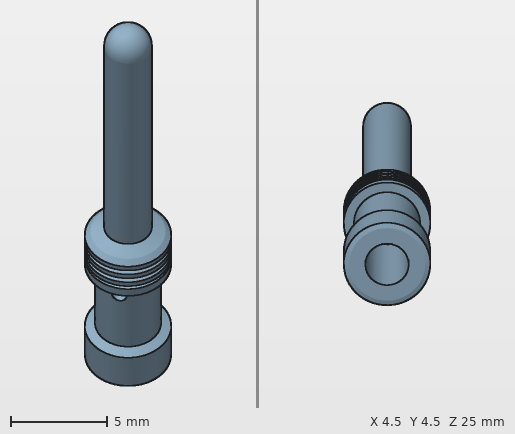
import cadquery as cq

total_height = 25.0
pin_radius = 2.5 / 2
collar_radius = 4.5 / 2
barrel_radius = 3.45 / 2

foot_rim_height = 2.25
foot_top = 2.52
foot_bottom_radius = 3.95 / 2
foot_chamfer_height = 0.08

collar_bottom = 7.0
collar_rim_top = 9.25
shoulder_break_height = 9.52
shoulder_break_radius = 3.9 / 2
collar_top = 9.9

groove_root_radius = 3.95 / 2
groove_roof_drop = 0.15
groove_pitch = 0.6
top_groove_roof = 8.95
groove_heights = [0.3, 0.3, 0.22]

bore_radius = 2.25 / 2
bore_depth = collar_bottom
inspection_hole_radius = 0.8 / 2
inspection_hole_height = 6.4


def revolve_profile(outline):
    """Revolve a closed half profile, drawn as (radius, height), about Z."""
    return outline.close().revolve(360, (0, 0, 0), (0, 1, 0))


def make_turned_body():
    dome_base = total_height - pin_radius
    dome_mid = pin_radius * 0.5**0.5
    outline = (
        cq.Workplane("XZ")
        .lineTo(foot_bottom_radius, 0)
        .lineTo(collar_radius, foot_chamfer_height)
        .lineTo(collar_radius, foot_rim_height)
        .lineTo(barrel_radius, foot_top)
        .lineTo(barrel_radius, collar_bottom)
        .lineTo(collar_radius, collar_bottom)
        .lineTo(collar_radius, collar_rim_top)
        .lineTo(shoulder_break_radius, shoulder_break_height)
        .lineTo(pin_radius, collar_top)
        .lineTo(pin_radius, dome_base)
        .threePointArc((dome_mid, dome_base + dome_mid), (0, total_height))
    )
    return revolve_profile(outline)


def make_groove(roof, height):
    outline = (
        cq.Workplane("XZ")
        .moveTo(collar_radius, roof)
        .lineTo(groove_root_radius, roof - groove_roof_drop)
        .lineTo(collar_radius, roof - height)
    )
    return revolve_profile(outline)


def make_crimp_bore():
    return cq.Workplane("XY").circle(bore_radius).extrude(bore_depth)


def make_inspection_hole():
    """Radial hole from the -Y side of the barrel to the bore axis."""
    return (
        cq.Workplane("XZ")
        .center(0, inspection_hole_height)
        .circle(inspection_hole_radius)
        .extrude(barrel_radius)
    )


result = make_turned_body()
for index, height in enumerate(groove_heights):
    roof = top_groove_roof - index * groove_pitch
    result = result.cut(make_groove(roof, height))
result = result.cut(make_crimp_bore())
result = result.cut(make_inspection_hole())